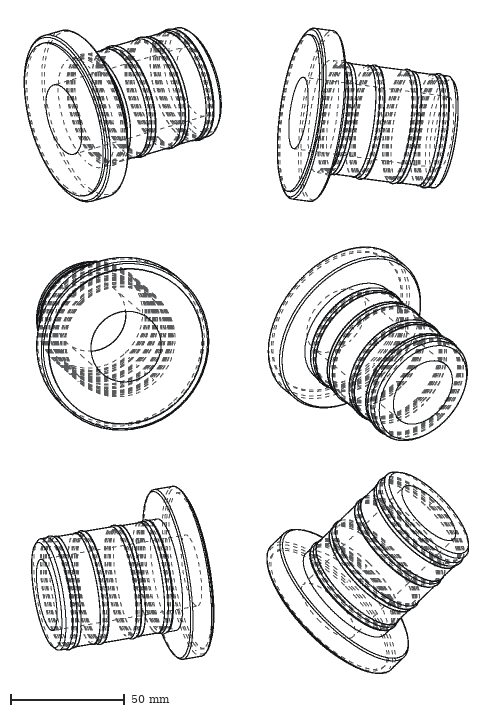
import cadquery as cq

total_length = 66.7
boss_height = 1.15
flange_back = 11.4

flange_radius = 38.1
boss_radius = 35.0
barrel_radius = 25.0
bore_radius = 15.9

flange_chamfer = 0.85
barrel_chamfer = 1.45

groove_width = 2.4
groove_depth = 1.4
ring_section_radius = 1.0
ring_projection = 0.5
ring_center_radius = barrel_radius + ring_projection - ring_section_radius
outer_ring_shift = 0.15
seals = [
    (16.9, outer_ring_shift),
    (31.5, 0),
    (46.55, 0),
    (61.0, -outer_ring_shift),
]

relief_depth = 0.25
relief_length = 8.85
band_clearance = 0.8
relief_starts = [19.7, 49.4]


def cylinder(radius, start, length):
    """Solid cylinder on the Y axis, running from start towards +Y."""
    plane = cq.Plane(origin=(0, start, 0), xDir=(1, 0, 0), normal=(0, 1, 0))
    return cq.Workplane(plane).circle(radius).extrude(length)


def cut_band(body, start, length, depth):
    """Turn the barrel down by depth over one length."""
    band = cylinder(barrel_radius + band_clearance, start, length)
    core = cylinder(barrel_radius - depth, start, length)
    return body.cut(band.cut(core))


def o_ring(center):
    """Round-section ring encircling the Y axis."""
    section = cq.Workplane("XY").center(ring_center_radius, center).circle(ring_section_radius)
    return section.revolve(360, (-ring_center_radius, 0, 0), (-ring_center_radius, 1, 0))


flange = cylinder(flange_radius, boss_height, flange_back - boss_height).edges().chamfer(flange_chamfer)
boss = cylinder(boss_radius, 0, flange_back)
barrel = cylinder(barrel_radius, 0, total_length).faces(">Y").edges().chamfer(barrel_chamfer)
result = flange.union(boss).union(barrel)

for relief_start in relief_starts:
    result = cut_band(result, relief_start, relief_length, relief_depth)

for groove_center, ring_shift in seals:
    result = cut_band(result, groove_center - groove_width / 2, groove_width, groove_depth)
    result = result.union(o_ring(groove_center + ring_shift))

result = result.cut(cylinder(bore_radius, 0, total_length))